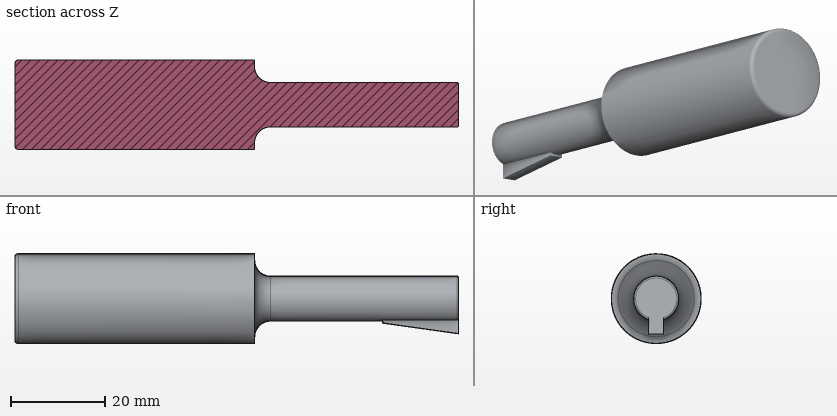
import cadquery as cq
import math

shank_diameter = 19.05
shank_length = 50.8
shank_edge_radius = 0.762

overall_length = 93.98
neck_diameter = 9.525
neck_fillet = 3.3
tip_edge_radius = 0.381

fin_length = 16.1
fin_width = 3.175
fin_tip_reach = 7.45
fin_taper_angle = 8.0

shank_radius = shank_diameter / 2
neck_radius = neck_diameter / 2


def rounding_offset(radius):
    """Distance from each tangent line to the middle of a quarter-circle rounding."""
    return radius * (1 - math.sqrt(0.5))


def make_body():
    """Revolve the stepped half-profile about the X axis."""
    shank_offset = rounding_offset(shank_edge_radius)
    neck_offset = rounding_offset(neck_fillet)
    tip_offset = rounding_offset(tip_edge_radius)
    profile = (
        cq.Workplane("XY")
        .lineTo(0, shank_radius - shank_edge_radius)
        .threePointArc(
            (shank_offset, shank_radius - shank_offset),
            (shank_edge_radius, shank_radius),
        )
        .lineTo(shank_length, shank_radius)
        .lineTo(shank_length, neck_radius + neck_fillet)
        .threePointArc(
            (shank_length + neck_offset, neck_radius + neck_offset),
            (shank_length + neck_fillet, neck_radius),
        )
        .lineTo(overall_length - tip_edge_radius, neck_radius)
        .threePointArc(
            (overall_length - tip_offset, neck_radius - tip_offset),
            (overall_length, neck_radius - tip_edge_radius),
        )
        .lineTo(overall_length, 0)
        .close()
    )
    return profile.revolve(360, (0, 0, 0), (1, 0, 0))


def make_fin():
    """Extrude the tapered side outline of the fin, centred on the XZ plane."""
    fin_start = overall_length - fin_length
    fin_start_reach = fin_tip_reach - fin_length * math.tan(math.radians(fin_taper_angle))
    outline = [
        (fin_start, 0),
        (overall_length, 0),
        (overall_length, -fin_tip_reach),
        (fin_start, -fin_start_reach),
    ]
    return cq.Workplane("XZ").polyline(outline).close().extrude(fin_width / 2, both=True)


result = make_body().union(make_fin())